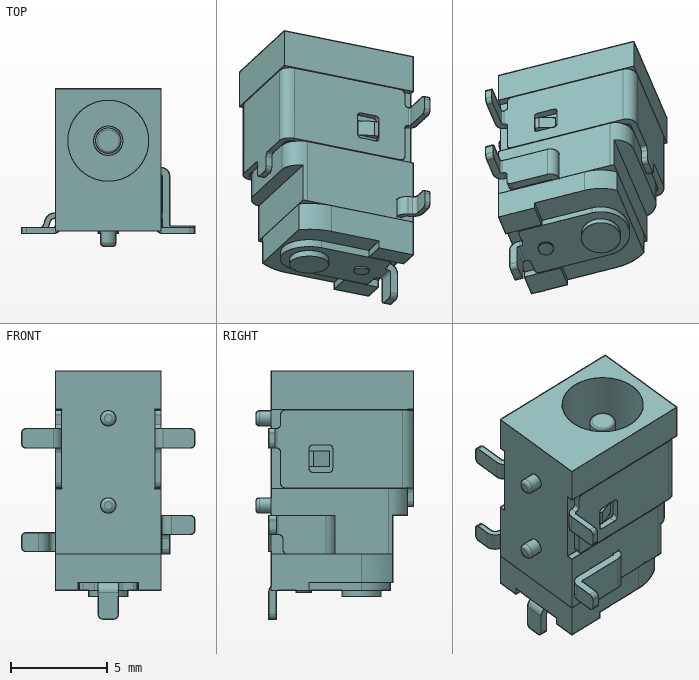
import cadquery as cq
import math


BODY_WIDTH = 5.5
BODY_DEPTH = 7.4
HALF_WIDTH = BODY_WIDTH / 2
TOP_Z = 11.4
AXIS_Y = 4.7

FOOT_REACH = 4.5
FOOT_BOTTOM_Y = -0.13
TIP_RADIUS = 0.25
INNER_CORNER_RADIUS = 0.2

SHELL_THICKNESS = 0.32
SHELL_CORNER = 0.59
SHELL_BEND = 0.1
SHELL_TOP_Z = 9.37
SHELL_BOTTOM_Z = 5.33
SHELL_EDGE_Y = 0.49
SHELL_FOOT_Z = (7.39, 8.41)
TONGUE_WIDTH = 1.05
TONGUE_END_Z = 4.35
WINDOW_Y = (1.97, 3.2)
WINDOW_Z = (6.13, 7.56)
WINDOW_CORNER = 0.19

RECESS_TOP_Z = 9.4
RECESS_BOTTOM_Z = 5.29
CORE_WIDTH = BODY_WIDTH - 2 * SHELL_THICKNESS
CORE_DEPTH = BODY_DEPTH - SHELL_THICKNESS
LOWER_CORNER = 0.99
REAR_STEP_Z = 3.9
REAR_DEPTH = 6.32
BORE_RADIUS = 2.1
BORE_FLOOR_Z = 4.41
PIN_CLEARANCE_RADIUS = 0.76
PEG_RADIUS = 0.4
PEG_LENGTH = 0.8
PEG_ROUNDING = 0.19
PEG_HEIGHTS = (4.41, 8.94)
LATCH_Z = (6.44, 7.25)
LATCH_CREST_Y = 2.2
LATCH_END_Y = 3.02
LATCH_HEIGHT = 0.28

COVER_TOP_Z = 1.88
LEDGE_Z = 0.4
LEDGE_FRONT_Y = 1.97
SLOT_WIDTH = 3.1

PIN_RADIUS = 0.66
PIN_TIP_Z = 10.27
PIN_TIP_ROUNDING = 0.09
PLATE_RADIUS = 1.5
PLATE_FRONT_Y = 0.65
PLATE_CORNER = 0.19
RIVET_RADIUS = 1.02
RIVET_BOTTOM_Z = -0.32
ARM_WIDTH = 1.05
ARM_BEND = 0.1
ARM_END_Z = TOP_Z - 12.9
DIMPLE_RADIUS = 0.4
DIMPLE_HEIGHT = 0.1
DIMPLE_Y = 1.69

PLATE_OUTER_X = 3.2
PLATE_THICKNESS = 0.4
PLATE_BEND = 0.08
PLATE_TOP_Y = 3.32
PLATE_EDGE_Y = 0.6
PLATE_Z = (COVER_TOP_Z, 3.9)
PLATE_FOOT_Z = (2.9, 3.9)
LIP_DEPTH = 0.39
STRIP_THICKNESS = 0.28
STRIP_BEND = 0.28
STRIP_ANGLE = 72.0
STRIP_TOP_Y = 0.95
STRIP_Z = (2.01, 3.0)


def block(x_range, y_range, z_range):
    """A box given by its limits along each axis."""
    lows, highs = zip(x_range, y_range, z_range)
    sizes = [high - low for low, high in zip(lows, highs)]
    return cq.Workplane("XY").box(*sizes, centered=False).translate(lows)


def centered_block(width, y_range, z_range):
    """A box that is symmetric about X = 0."""
    return block((-width / 2, width / 2), y_range, z_range)


def cylinder(radius, y, z_range):
    """An upright cylinder on the middle plane."""
    low, high = z_range
    return cq.Workplane("XY", origin=(0, y, low)).circle(radius).extrude(high - low)


def near(x, y, z):
    return cq.selectors.NearestToPointSelector((x, y, z))


def arch(width, depth, corner, z_range):
    """A block standing on Y = 0 with its two back (+Y) edges rounded."""
    return centered_block(width, (0, depth), z_range).edges("|Z and >Y").fillet(corner)


def mirrored(body):
    return body.mirror("YZ")


def footed_wall(outer_x, thickness, bend, top_y, z_range, foot_z, edge_y):
    """A sheet wall on the +X side, bent outwards at its lower edge into one foot."""
    inner_x = outer_x - thickness
    foot_top_y = FOOT_BOTTOM_Y + thickness
    middle_z = sum(z_range) / 2
    wall = block((inner_x, outer_x), (FOOT_BOTTOM_Y, top_y), z_range)
    foot = block((inner_x, FOOT_REACH), (FOOT_BOTTOM_Y, foot_top_y), z_range)
    wall = wall.union(foot)
    wall = wall.edges(near(outer_x, foot_top_y, middle_z)).fillet(bend)
    wall = wall.edges(near(inner_x, FOOT_BOTTOM_Y, middle_z)).fillet(bend + thickness)

    beyond = 2 * TIP_RADIUS
    middle_x = (inner_x + outer_x) / 2
    for foot_side, wall_end in zip(foot_z, z_range):
        if foot_side == wall_end:
            continue
        outward = math.copysign(beyond, wall_end - foot_side)
        z_limits = sorted((foot_side, wall_end + outward))
        trim = block((inner_x - 0.13, FOOT_REACH + 0.13), (FOOT_BOTTOM_Y - beyond, edge_y), z_limits)
        inner_corner = trim.edges("|X").edges(near(middle_x, edge_y, foot_side))
        trim = inner_corner.fillet(INNER_CORNER_RADIUS)
        wall = wall.cut(trim)
        wall = wall.edges(near(middle_x, edge_y, wall_end)).fillet(TIP_RADIUS)
    return wall.edges("|Y and >X").fillet(TIP_RADIUS)


def make_peg(z):
    peg = cq.Workplane("XZ", origin=(0, 0, z)).circle(PEG_RADIUS).extrude(PEG_LENGTH)
    return peg.faces("<Y").edges().fillet(PEG_ROUNDING)


def make_latch():
    """A ramp on the +X side of the core that snaps into the shell window."""
    base_x = CORE_WIDTH / 2
    crest_x = base_x + LATCH_HEIGHT
    outline = [
        (base_x, WINDOW_Y[0]),
        (crest_x, WINDOW_Y[0]),
        (crest_x, LATCH_CREST_Y),
        (base_x, LATCH_END_Y),
    ]
    sketch = cq.Workplane("XY", origin=(0, 0, LATCH_Z[0])).polyline(outline).close()
    return sketch.extrude(LATCH_Z[1] - LATCH_Z[0])


def make_housing(contact):
    """The housing, with slots that fit the embedded parts of the switch contact."""
    head = centered_block(BODY_WIDTH, (0, BODY_DEPTH), (RECESS_TOP_Z, TOP_Z))
    core_z = (RECESS_BOTTOM_Z, RECESS_TOP_Z)
    core = arch(CORE_WIDTH, CORE_DEPTH, SHELL_CORNER - SHELL_THICKNESS, core_z)
    lower = arch(BODY_WIDTH, CORE_DEPTH, LOWER_CORNER, (COVER_TOP_Z, RECESS_BOTTOM_Z))
    rear_cut = centered_block(BODY_WIDTH, (REAR_DEPTH, BODY_DEPTH), (COVER_TOP_Z, REAR_STEP_Z))
    housing = head.union(core).union(lower.cut(rear_cut))
    housing = housing.cut(cylinder(BORE_RADIUS, AXIS_Y, (BORE_FLOOR_Z, TOP_Z)))
    housing = housing.cut(cylinder(PIN_CLEARANCE_RADIUS, AXIS_Y, (COVER_TOP_Z, BORE_FLOOR_Z)))
    for z in PEG_HEIGHTS:
        housing = housing.union(make_peg(z))
    latch = make_latch()
    housing = housing.union(latch).union(mirrored(latch))
    return housing.cut(contact)


def make_cover():
    """A round-backed cover whose back is cut flat, flush with the housing."""
    rise = REAR_DEPTH - AXIS_Y
    flat_x = math.sqrt(HALF_WIDTH**2 - rise**2)
    half_angle = math.asin(rise / HALF_WIDTH) / 2
    arc_x = HALF_WIDTH * math.cos(half_angle)
    arc_y = AXIS_Y + HALF_WIDTH * math.sin(half_angle)
    cover = (
        cq.Workplane("XY")
        .moveTo(-HALF_WIDTH, 0)
        .lineTo(HALF_WIDTH, 0)
        .lineTo(HALF_WIDTH, AXIS_Y)
        .threePointArc((arc_x, arc_y), (flat_x, REAR_DEPTH))
        .lineTo(-flat_x, REAR_DEPTH)
        .threePointArc((-arc_x, arc_y), (-HALF_WIDTH, AXIS_Y))
        .close()
        .extrude(COVER_TOP_Z)
    )
    ledge = centered_block(BODY_WIDTH, (LEDGE_FRONT_Y, BODY_DEPTH), (0, LEDGE_Z))
    slot = centered_block(SLOT_WIDTH, (0, LEDGE_FRONT_Y), (0, LEDGE_Z))
    pin_hole = cylinder(PIN_RADIUS, AXIS_Y, (0, COVER_TOP_Z))
    return cover.cut(ledge).cut(slot).cut(pin_hole)


def make_pin_terminal():
    """The centre pin riveted to a round-ended plate whose arm bends down into a foot."""
    arm_back_y = FOOT_BOTTOM_Y + LEDGE_Z
    across = centered_block(ARM_WIDTH, (FOOT_BOTTOM_Y, AXIS_Y), (0, LEDGE_Z))
    down = centered_block(ARM_WIDTH, (FOOT_BOTTOM_Y, arm_back_y), (ARM_END_Z, LEDGE_Z))
    arm = across.union(down)
    arm = arm.edges(near(0, arm_back_y, 0)).fillet(ARM_BEND)
    arm = arm.edges(near(0, FOOT_BOTTOM_Y, LEDGE_Z)).fillet(ARM_BEND + LEDGE_Z)
    arm = arm.edges("|Y and <Z").fillet(TIP_RADIUS)

    plate = centered_block(2 * PLATE_RADIUS, (PLATE_FRONT_Y, AXIS_Y), (0, LEDGE_Z))
    plate = plate.edges("|Z and <Y").fillet(PLATE_CORNER)
    plate = plate.union(cylinder(PLATE_RADIUS, AXIS_Y, (0, LEDGE_Z)))
    terminal = plate.union(arm)
    for x in (-ARM_WIDTH / 2, ARM_WIDTH / 2):
        terminal = terminal.edges(near(x, PLATE_FRONT_Y, LEDGE_Z / 2)).fillet(PLATE_CORNER)

    pin = cylinder(PIN_RADIUS, AXIS_Y, (0, PIN_TIP_Z)).faces(">Z").edges().fillet(PIN_TIP_ROUNDING)
    rivet = cylinder(RIVET_RADIUS, AXIS_Y, (RIVET_BOTTOM_Z, 0))
    dimple = cylinder(DIMPLE_RADIUS, DIMPLE_Y, (-DIMPLE_HEIGHT, 0))
    return terminal.union(pin).union(rivet).union(dimple)


def make_shell():
    """A U-shaped sheet around the back and sides, with a foot and a window on each side."""
    shell_z = (SHELL_BOTTOM_Z, SHELL_TOP_Z)
    wrap = arch(BODY_WIDTH, BODY_DEPTH, SHELL_CORNER, shell_z)
    wrap = wrap.cut(arch(CORE_WIDTH, CORE_DEPTH, SHELL_CORNER - SHELL_THICKNESS, shell_z))
    wrap = wrap.cut(centered_block(BODY_WIDTH, (0, WINDOW_Y[1]), shell_z))

    side = footed_wall(
        HALF_WIDTH, SHELL_THICKNESS, SHELL_BEND, WINDOW_Y[1], shell_z, SHELL_FOOT_Z, SHELL_EDGE_Y
    )
    shell = wrap.union(side).union(mirrored(side))
    window = centered_block(BODY_WIDTH, WINDOW_Y, WINDOW_Z).edges("|X").fillet(WINDOW_CORNER)
    shell = shell.cut(window)

    tongue = centered_block(TONGUE_WIDTH, (CORE_DEPTH, BODY_DEPTH), (TONGUE_END_Z, SHELL_BOTTOM_Z))
    shell = shell.union(tongue.edges("|Y and <Z").fillet(TIP_RADIUS))
    for x in (-TONGUE_WIDTH / 2, TONGUE_WIDTH / 2):
        root = near(x, BODY_DEPTH - SHELL_THICKNESS / 2, SHELL_BOTTOM_Z)
        shell = shell.edges(root).fillet(INNER_CORNER_RADIUS)
    return shell


def polar(center, radius, degrees):
    angle = math.radians(degrees)
    return (center[0] + radius * math.cos(angle), center[1] + radius * math.sin(angle))


def make_strip():
    """A thin strip crossing the housing, curling down in an S to a foot on the -X side."""
    inner = STRIP_BEND
    outer = STRIP_BEND + STRIP_THICKNESS
    upper_center = (-HALF_WIDTH, STRIP_TOP_Y - outer)
    lower_center_y = FOOT_BOTTOM_Y + outer

    slope = 90 + STRIP_ANGLE
    drop = upper_center[1] - lower_center_y
    tilt = math.radians(STRIP_ANGLE)
    run = (drop + (inner + outer) * math.cos(tilt)) / math.sin(tilt)
    lower_center = polar(polar(upper_center, inner + outer, slope), run, slope + 90)

    strip_end_x = PLATE_OUTER_X - PLATE_THICKNESS
    upper_mid = 90 + STRIP_ANGLE / 2
    lower_mid = upper_mid + 180
    strip = (
        cq.Workplane("XY", origin=(0, 0, STRIP_Z[0]))
        .moveTo(strip_end_x, STRIP_TOP_Y)
        .lineTo(*polar(upper_center, outer, 90))
        .threePointArc(polar(upper_center, outer, upper_mid), polar(upper_center, outer, slope))
        .lineTo(*polar(lower_center, inner, slope + 180))
        .threePointArc(polar(lower_center, inner, lower_mid), polar(lower_center, inner, 270))
        .lineTo(-FOOT_REACH, FOOT_BOTTOM_Y + STRIP_THICKNESS)
        .lineTo(-FOOT_REACH, FOOT_BOTTOM_Y)
        .lineTo(*polar(lower_center, outer, 270))
        .threePointArc(polar(lower_center, outer, lower_mid), polar(lower_center, outer, slope + 180))
        .lineTo(*polar(upper_center, inner, slope))
        .threePointArc(polar(upper_center, inner, upper_mid), polar(upper_center, inner, 90))
        .lineTo(strip_end_x, STRIP_TOP_Y - STRIP_THICKNESS)
        .close()
        .extrude(STRIP_Z[1] - STRIP_Z[0])
    )
    return strip.edges("|Y and <X").fillet(TIP_RADIUS)


def make_contact():
    """A footed plate outside the +X wall, hooked into the wall and joined to the strip."""
    plate_inner_x = PLATE_OUTER_X - PLATE_THICKNESS
    lip_bottom_y = PLATE_TOP_Y - PLATE_THICKNESS
    middle_z = sum(PLATE_Z) / 2
    plate = footed_wall(
        PLATE_OUTER_X, PLATE_THICKNESS, PLATE_BEND, PLATE_TOP_Y, PLATE_Z, PLATE_FOOT_Z, PLATE_EDGE_Y
    )
    lip = block((HALF_WIDTH - LIP_DEPTH, PLATE_OUTER_X), (lip_bottom_y, PLATE_TOP_Y), PLATE_Z)
    plate = plate.union(lip)
    plate = plate.edges(near(plate_inner_x, lip_bottom_y, middle_z)).fillet(PLATE_BEND)
    outer_bend = PLATE_BEND + PLATE_THICKNESS
    plate = plate.edges(near(PLATE_OUTER_X, PLATE_TOP_Y, middle_z)).fillet(outer_bend)
    return plate.union(make_strip())


contact = make_contact()
housing = make_housing(contact)
cover = make_cover()
pin_terminal = make_pin_terminal()
shell = make_shell()

bodies = [housing, cover, pin_terminal, shell, contact]
result = cq.Compound.makeCompound([body.solids().val() for body in bodies])